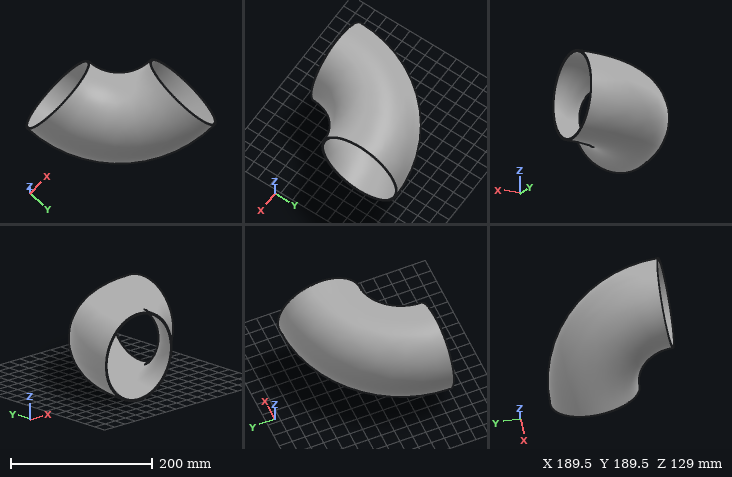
import cadquery as cq

overall = 189.5
pipe_diameter = 129.0
wall = 2.0
bend_angle = 90

outer_radius = pipe_diameter / 2
inner_radius = outer_radius - wall
bend_radius = overall - outer_radius

pipe_section = (
    cq.Workplane("XZ")
    .center(-bend_radius, 0)
    .circle(outer_radius)
    .circle(inner_radius)
)

axis_start = (bend_radius, 0)
axis_end = (bend_radius, -1)
result = pipe_section.revolve(bend_angle, axis_start, axis_end)